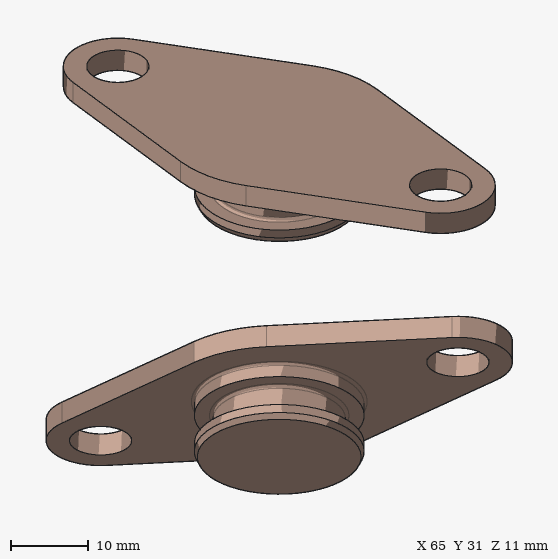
import cadquery as cq
import math

length = 64.95
width = 31.0
plate_thickness = 3.05
end_radius = 7.0
hole_diameter = 8.0
hole_offset = length / 2 - end_radius
middle_radius = width / 2

plug_radius = 10.9
groove_radius = 8.5
lower_flange_height = 1.95
upper_flange_height = 2.0
groove_height = 4.0
root_fillet = 0.45
plate_fillet = 0.4
rim_chamfer_height = 0.8
rim_chamfer_inset = 0.4

groove_bottom = lower_flange_height
groove_top = groove_bottom + groove_height
plate_bottom = groove_top + upper_flange_height


def make_plate():
    """Outline of straight sides tangent to the middle and end arcs."""
    sine = (middle_radius - end_radius) / hole_offset
    cosine = math.sqrt(1 - sine**2)
    middle_x = middle_radius * sine
    middle_y = middle_radius * cosine
    end_x = hole_offset + end_radius * sine
    end_y = end_radius * cosine
    return (
        cq.Workplane("XY", origin=(0, 0, plate_bottom))
        .moveTo(-middle_x, middle_y)
        .threePointArc((0, middle_radius), (middle_x, middle_y))
        .lineTo(end_x, end_y)
        .threePointArc((length / 2, 0), (end_x, -end_y))
        .lineTo(middle_x, -middle_y)
        .threePointArc((0, -middle_radius), (-middle_x, -middle_y))
        .lineTo(-end_x, -end_y)
        .threePointArc((-length / 2, 0), (-end_x, end_y))
        .close()
        .extrude(plate_thickness)
        .pushPoints([(-hole_offset, 0), (hole_offset, 0)])
        .circle(hole_diameter / 2)
        .cutThruAll()
    )


def make_plug():
    """Revolved half-section with small fillets at the groove roots and the plate."""
    return (
        cq.Workplane("XZ")
        .lineTo(plug_radius - rim_chamfer_inset, 0)
        .lineTo(plug_radius, rim_chamfer_height)
        .lineTo(plug_radius, groove_bottom)
        .lineTo(groove_radius + root_fillet, groove_bottom)
        .radiusArc((groove_radius, groove_bottom + root_fillet), root_fillet)
        .lineTo(groove_radius, groove_top - root_fillet)
        .radiusArc((groove_radius + root_fillet, groove_top), root_fillet)
        .lineTo(plug_radius, groove_top)
        .lineTo(plug_radius, plate_bottom - plate_fillet)
        .radiusArc((plug_radius + plate_fillet, plate_bottom), plate_fillet)
        .lineTo(0, plate_bottom)
        .close()
        .revolve(360, (0, 0, 0), (0, 1, 0))
    )


total_height = plate_bottom + plate_thickness
result = make_plate().union(make_plug()).translate((0, 0, -total_height / 2))